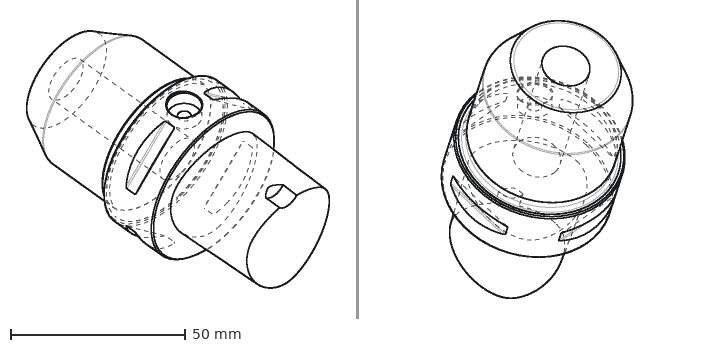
import cadquery as cq
import math

length = 90.0

face_radius = 15.3
nose_radius = 16.2
nose_edge = 0.3
cone_end_radius = 21.9
cone_end = 12.3
body_diameter = 44.0
body_radius = body_diameter / 2
body_start = 12.9
body_end = 36.6
neck_start = 36.8
neck_diameter = 43.8
neck_radius = neck_diameter / 2
neck_fillet = 1.0

flange_diameter = 50.0
flange_radius = flange_diameter / 2
flange_start = 40.0
flange_end = 59.9
flange_chamfer = 0.45
recess_radius = 23.8
recess_depth = 0.1

bore_diameter = 14.0
bore_depth = 45.0

shank_radius = 17.55
lobe_height = 1.1
shank_taper = 1 / 20
shank_end_radius = shank_radius - (length - flange_end) * shank_taper / 2
lobe_count = 3
outline_points = 48

slot_count = 4
slot_x = 49.95
slot_floor_width = 3.9
slot_floor_distance = 22.3
slot_wall_angle = 26.0
slot_fillet = 0.5

hole_x = 48.0
hole_diameter = 10.0
hole_depth = 5.0
hole_chamfer = 0.3
dimple_diameter = 4.0
drill_tip_angle = 118.0

groove_width = 7.3
groove_radius = 4.5
groove_length = 5.6

cut_margin = 2.7


def turned_body():
    """Nose cone, cylindrical body, neck and flange with the blind bore."""
    recess_floor = flange_start + recess_depth
    profile = (
        cq.Workplane("XY")
        .lineTo(0, face_radius)
        .lineTo(nose_edge, nose_radius)
        .lineTo(cone_end, cone_end_radius)
        .lineTo(body_start, body_radius)
        .lineTo(body_end, body_radius)
        .lineTo(neck_start, neck_radius)
        .lineTo(recess_floor - neck_fillet, neck_radius)
        .radiusArc((recess_floor, neck_radius + neck_fillet), -neck_fillet)
        .lineTo(recess_floor, recess_radius)
        .lineTo(flange_start, recess_radius)
        .lineTo(flange_start, flange_radius - flange_chamfer)
        .lineTo(flange_start + flange_chamfer, flange_radius)
        .lineTo(flange_end - flange_chamfer, flange_radius)
        .lineTo(flange_end, flange_radius - flange_chamfer)
        .lineTo(flange_end, 0)
        .close()
    )
    body = profile.revolve(360, (0, 0, 0), (1, 0, 0))
    bore = cq.Workplane("YZ").circle(bore_diameter / 2).extrude(bore_depth)
    return body.cut(bore)


def lobed_point(angle, mean_radius):
    """Point of the constant-width lobed outline whose normal has this angle from -Z."""
    reach = mean_radius + lobe_height * math.cos(lobe_count * angle)
    slope = -lobe_count * lobe_height * math.sin(lobe_count * angle)
    down = reach * math.cos(angle) - slope * math.sin(angle)
    side = reach * math.sin(angle) + slope * math.cos(angle)
    return side, -down


def lobed_wire(x, mean_radius):
    """Closed smooth outline of the shank section at x."""
    points = []
    for index in range(outline_points):
        side, up = lobed_point(2 * math.pi * index / outline_points, mean_radius)
        points.append(cq.Vector(x, side, up))
    return cq.Wire.assembleEdges([cq.Edge.makeSpline(points, periodic=True)])


def shank():
    """Lobed shank narrowing evenly from the flange to the end."""
    wires = [lobed_wire(flange_end, shank_radius), lobed_wire(length, shank_end_radius)]
    return cq.Workplane(cq.Solid.makeLoft(wires, True))


def slot_cutter():
    """Straight slot with leaning walls, cutting across the +Z side of the flange."""
    height = flange_radius - slot_floor_distance + cut_margin
    floor_half = slot_floor_width / 2
    top_half = floor_half + height * math.tan(math.radians(slot_wall_angle))
    return (
        cq.Workplane("XZ", origin=(slot_x, 0, slot_floor_distance))
        .moveTo(-floor_half, 0)
        .lineTo(floor_half, 0)
        .lineTo(top_half, height)
        .lineTo(-top_half, height)
        .close()
        .extrude(flange_radius, both=True)
        .faces("<Z")
        .edges("|Y")
        .fillet(slot_fillet)
    )


def hole_cutter():
    """Blind hole with a rim chamfer and a conical dimple in its floor."""
    radius = hole_diameter / 2
    floor = flange_radius - hole_depth
    rim = math.sqrt(flange_radius**2 - radius**2)
    dimple_radius = dimple_diameter / 2
    dimple_depth = dimple_radius / math.tan(math.radians(drill_tip_angle / 2))
    profile = (
        cq.Workplane("XZ", origin=(hole_x, 0, 0))
        .moveTo(0, floor - dimple_depth)
        .lineTo(dimple_radius, floor)
        .lineTo(radius, floor)
        .lineTo(radius, rim - hole_chamfer)
        .lineTo(radius + hole_chamfer, rim)
        .lineTo(radius + hole_chamfer, flange_radius + cut_margin)
        .lineTo(0, flange_radius + cut_margin)
        .close()
    )
    return profile.revolve(360, (0, 0, 0), (0, 1, 0))


def groove_cutter():
    """Round groove along X with a conical inner end."""
    surface = shank_end_radius - lobe_height
    half_width = groove_width / 2
    axis_z = surface + math.sqrt(groove_radius**2 - half_width**2)
    start = length - groove_length
    profile = (
        cq.Workplane("XZ")
        .moveTo(start - groove_radius, axis_z)
        .lineTo(start, axis_z + groove_radius)
        .lineTo(length + cut_margin, axis_z + groove_radius)
        .lineTo(length + cut_margin, axis_z)
        .close()
    )
    return profile.revolve(360, (0, axis_z, 0), (1, axis_z, 0))


result = turned_body().union(shank())
for index in range(slot_count):
    turn = (index + 0.5) * 360 / slot_count
    result = result.cut(slot_cutter().rotate((0, 0, 0), (1, 0, 0), turn))
result = result.cut(hole_cutter()).cut(groove_cutter())